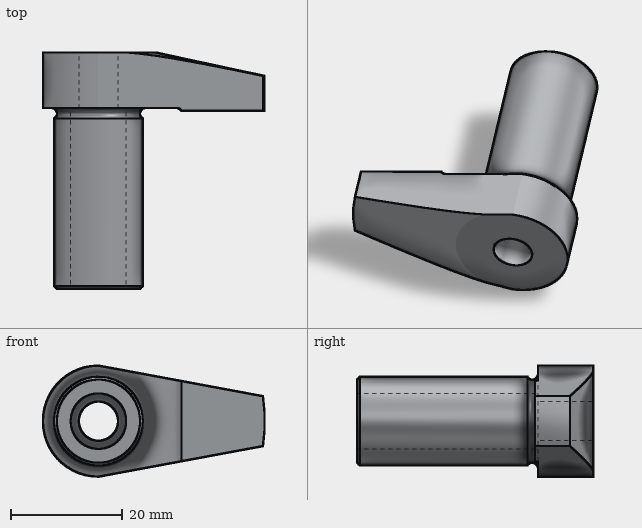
import cadquery as cq
import math


total_length = 42.5
hub_diameter = 20.0
hub_radius = hub_diameter / 2
hub_thickness = 10.0
arm_reach = 39.95 - hub_radius
tip_half_height = 4.5
back_flat_radius = 10.35
tip_back_drop = 4.2

pad_height = 0.5
pad_start = 14.02
pad_fillet = 1.0

shaft_radius = 16.0 / 2
shaft_length = total_length - hub_thickness
end_chamfer = 0.5
undercut_depth = 0.5
undercut_radius = 1.0

bore_diameter = 10.0
through_diameter = 7.0
bore_depth = shaft_length


def make_arm_outline():
    """Round hub and tapering flanks, extruded over hub and pad thickness."""
    tip_corner_x = math.sqrt(arm_reach**2 - tip_half_height**2)
    return (
        cq.Workplane("XZ", origin=(0, hub_thickness, 0))
        .moveTo(0, hub_radius)
        .lineTo(tip_corner_x, tip_half_height)
        .threePointArc((arm_reach, 0), (tip_corner_x, -tip_half_height))
        .lineTo(0, -hub_radius)
        .threePointArc((-hub_radius, 0), (0, hub_radius))
        .close()
        .extrude(hub_thickness + pad_height)
    )


def make_back_envelope():
    """Turned blank whose back is flat near the axis and conical beyond it."""
    return (
        cq.Workplane("XY")
        .moveTo(0, -pad_height)
        .lineTo(arm_reach, -pad_height)
        .lineTo(arm_reach, hub_thickness - tip_back_drop)
        .lineTo(back_flat_radius, hub_thickness)
        .lineTo(0, hub_thickness)
        .close()
        .revolve(360, (0, 0, 0), (0, 1, 0))
    )


def make_pad_relief():
    """Material in front of the hub face, ending in a concave fillet at the pad."""
    fillet_run = math.sqrt(squared_half_chord(pad_fillet, pad_height))
    half_angle = math.atan2(pad_height, fillet_run)
    mid_x = pad_start + pad_fillet * math.sin(half_angle)
    mid_y = -pad_fillet * (1 - math.cos(half_angle))
    return (
        cq.Workplane("XY")
        .moveTo(-hub_radius, 0)
        .lineTo(pad_start, 0)
        .threePointArc((mid_x, mid_y), (pad_start + fillet_run, -pad_height))
        .lineTo(-hub_radius, -pad_height)
        .close()
        .extrude(hub_radius, both=True)
    )


def squared_half_chord(radius, depth):
    """Squared half chord of a circle segment of the given depth."""
    return radius**2 - (radius - depth)**2


def make_shaft():
    """Turned shaft with a rounded undercut below the hub and a chamfered end."""
    root_radius = shaft_radius - undercut_depth
    arc_centre_radius = root_radius + undercut_radius
    undercut_end = undercut_radius + math.sqrt(squared_half_chord(undercut_radius, undercut_depth))
    return (
        cq.Workplane("XY")
        .lineTo(arc_centre_radius, 0)
        .threePointArc((root_radius, -undercut_radius), (shaft_radius, -undercut_end))
        .lineTo(shaft_radius, -shaft_length + end_chamfer)
        .lineTo(shaft_radius - end_chamfer, -shaft_length)
        .lineTo(0, -shaft_length)
        .close()
        .revolve(360, (0, 0, 0), (0, 1, 0))
    )


def make_bore():
    """Wide bore from the shaft end and a narrower hole through the hub."""
    end_plane = cq.Workplane("XZ", origin=(0, -shaft_length, 0))
    wide = end_plane.circle(bore_diameter / 2).extrude(-bore_depth)
    narrow = end_plane.circle(through_diameter / 2).extrude(-total_length)
    return wide.union(narrow)


arm = make_arm_outline().intersect(make_back_envelope()).cut(make_pad_relief())
result = arm.union(make_shaft()).cut(make_bore())